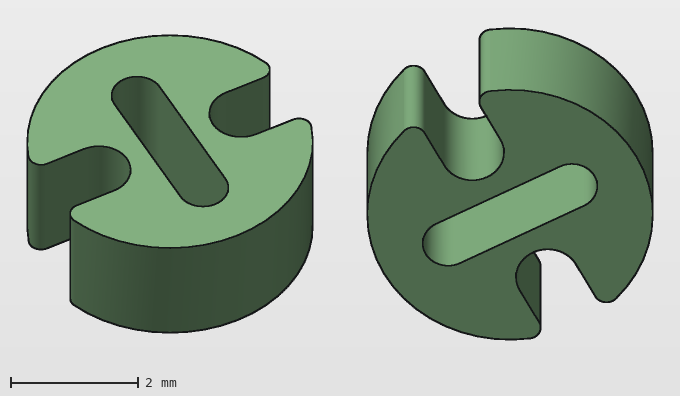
import cadquery as cq

diameter = 4.49
height = 2.0

slot_length = 3.0
slot_width = 0.8

notch_width = 0.995
notch_floor = 0.77
mouth_fillet = 0.198

radius = diameter / 2
notch_radius = notch_width / 2
notch_arc_center = notch_floor + notch_radius


def notch_cutter(side):
    """Notch running outward along Y; side is +1 or -1."""
    straight_length = radius - notch_arc_center
    straight = (
        cq.Workplane("XY")
        .center(0, side * (notch_arc_center + straight_length / 2))
        .rect(notch_width, straight_length)
        .extrude(height)
    )
    round_floor = (
        cq.Workplane("XY")
        .center(0, side * notch_arc_center)
        .circle(notch_radius)
        .extrude(height)
    )
    return straight.union(round_floor)


body = cq.Workplane("XY").circle(radius).extrude(height)
for side in (1, -1):
    body = body.cut(notch_cutter(side))

for side in (1, -1):
    mouth_edges = cq.selectors.BoxSelector(
        (-notch_width, side * (notch_arc_center + radius) / 2, 0),
        (notch_width, side * radius, height),
    )
    body = body.edges("|Z").edges(mouth_edges).fillet(mouth_fillet)

central_slot = cq.Workplane("XY").slot2D(slot_length, slot_width).extrude(height)
result = body.cut(central_slot)